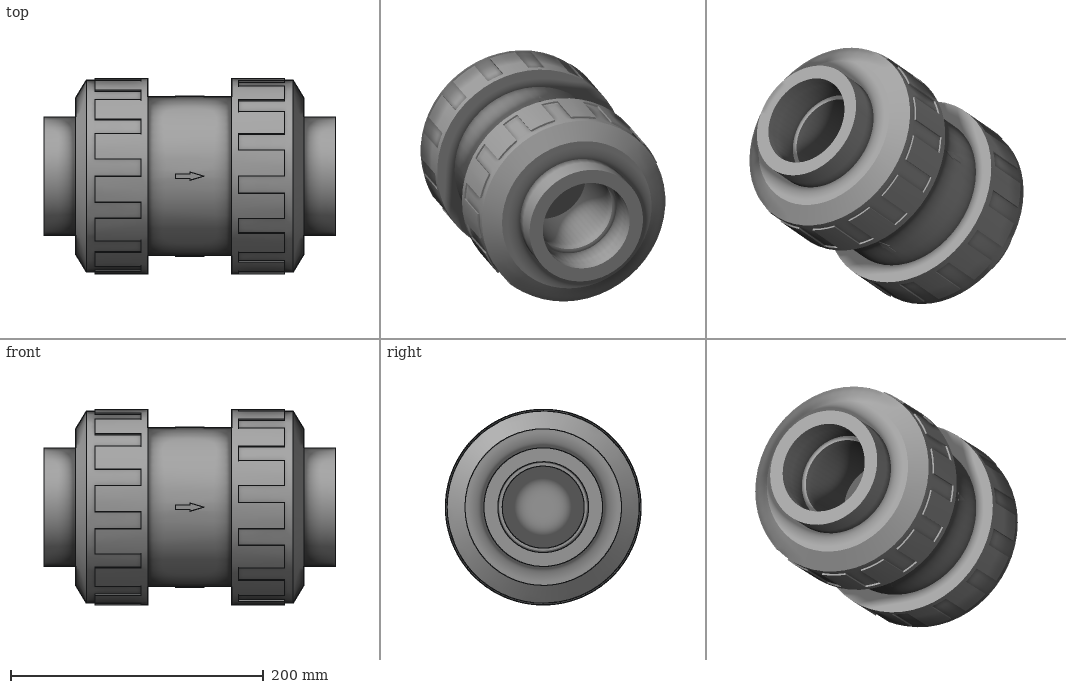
import cadquery as cq
import math

TOTAL_LENGTH = 231.0
NUT_RADIUS = 77.5
BODY_RADIUS = 63.0
PIPE_END_RADIUS = 47.0

NUT_OUTER_X = 90.3
NUT_LENGTH = 57.2
NUT_CONE_LENGTH = 8.4
NUT_CONE_TIP_RADIUS = 62.0
NUT_RIM_LENGTH = 6.8
GRIP_DEPTH = 1.4
GRIP_LENGTH = 36.4
GRIP_COUNT = 14
GRIP_ANGLE = 10.1
GRIP_PHASE = 17.9

SOCKET_RADIUS = 36.0
SOCKET_DEPTH = 35.2
BORE_RADIUS = 32.5
CLOSURE_THICKNESS = 20.0

ARROW_LENGTH = 22.2
ARROW_SHAFT_WIDTH = 3.5
ARROW_HEAD_WIDTH = 6.6
ARROW_HEIGHT = 0.6
ARROW_COUNT = 4

RIM_RADIUS = NUT_RADIUS - GRIP_DEPTH


def x_cylinder(radius, x_start, length):
    """Solid cylinder on the valve axis."""
    return cq.Workplane("YZ", origin=(x_start, 0, 0)).circle(radius).extrude(length)


def grip_grooves():
    """Parallel-sided grooves around the left nut, open towards its rim."""
    groove_start = -NUT_OUTER_X + NUT_CONE_LENGTH + NUT_RIM_LENGTH
    width = 2 * NUT_RADIUS * math.sin(math.radians(GRIP_ANGLE / 2))
    radial_size = 4 * GRIP_DEPTH
    bars = cq.Workplane("XY")
    for index in range(GRIP_COUNT):
        angle = GRIP_PHASE + index * 360 / GRIP_COUNT
        bar = (
            cq.Workplane("XY")
            .box(GRIP_LENGTH, radial_size, width, centered=(False, True, True))
            .translate((groove_start, -RIM_RADIUS, 0))
            .rotate((0, 0, 0), (1, 0, 0), -angle)
        )
        bars = bars.add(bar)
    core = x_cylinder(RIM_RADIUS, groove_start, GRIP_LENGTH)
    return bars.combine().cut(core)


def union_nut():
    """Left nut as a solid of revolution with grip grooves."""
    cone_face = -NUT_OUTER_X
    rim_start = cone_face + NUT_CONE_LENGTH
    rib_start = rim_start + NUT_RIM_LENGTH
    inner_face = cone_face + NUT_LENGTH
    profile = [
        (cone_face, 0),
        (cone_face, NUT_CONE_TIP_RADIUS),
        (rim_start, RIM_RADIUS),
        (rib_start, RIM_RADIUS),
        (rib_start, NUT_RADIUS),
        (inner_face, NUT_RADIUS),
        (inner_face, 0),
    ]
    blank = cq.Workplane("XY").polyline(profile).close().revolve(360, (0, 0, 0), (1, 0, 0))
    return blank.cut(grip_grooves())


def body():
    """Central barrel, ending halfway inside each nut."""
    half_length = NUT_OUTER_X - NUT_LENGTH / 2
    return x_cylinder(BODY_RADIUS, -half_length, 2 * half_length)


def flow_arrow():
    """Arrow on the top of the body, pointing along +X."""
    half_length = ARROW_LENGTH / 2
    half_shaft = ARROW_SHAFT_WIDTH / 2
    half_head = ARROW_HEAD_WIDTH / 2
    outline = [
        (-half_length, -half_shaft),
        (0, -half_shaft),
        (0, -half_head),
        (half_length, 0),
        (0, half_head),
        (0, half_shaft),
        (-half_length, half_shaft),
    ]
    prism = cq.Workplane("XY").polyline(outline).close().extrude(NUT_RADIUS)
    raised_skin = x_cylinder(BODY_RADIUS + ARROW_HEIGHT, -half_length, ARROW_LENGTH)
    return prism.intersect(raised_skin)


def socket():
    """Stepped bore entering from the left end."""
    left_end = -TOTAL_LENGTH / 2
    bore_depth = (TOTAL_LENGTH - CLOSURE_THICKNESS) / 2
    wide = x_cylinder(SOCKET_RADIUS, left_end, SOCKET_DEPTH)
    narrow = x_cylinder(BORE_RADIUS, left_end, bore_depth)
    return wide.union(narrow)


def turned_about_z(shape):
    """Copy of a left-hand feature turned round to the right-hand end."""
    return shape.rotate((0, 0, 0), (0, 0, 1), 180)


nut = union_nut()
left_socket = socket()
arrow = flow_arrow()

result = x_cylinder(PIPE_END_RADIUS, -TOTAL_LENGTH / 2, TOTAL_LENGTH)
result = result.union(body())
result = result.union(nut).union(turned_about_z(nut))
for quarter in range(ARROW_COUNT):
    result = result.union(arrow.rotate((0, 0, 0), (1, 0, 0), quarter * 360 / ARROW_COUNT))
result = result.cut(left_socket).cut(turned_about_z(left_socket))